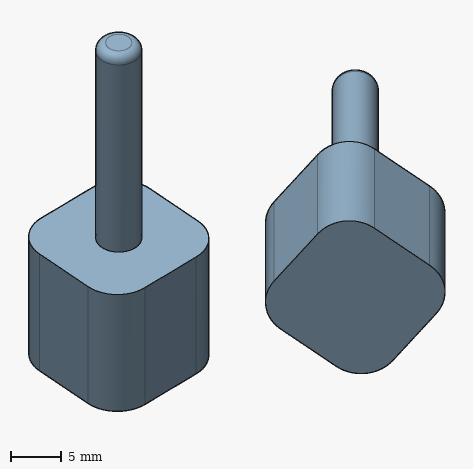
import cadquery as cq

total_height = 40.0
block_side = 15.0
block_height = 15.0
corner_radius = 4.0
pin_diameter = 4.6
tip_radius = 1.0

pin_length = total_height - block_height


def make_block():
    """Square block with rounded vertical edges, standing on Z = 0."""
    block = cq.Workplane("XY").box(block_side, block_side, block_height, centered=(True, True, False))
    return block.edges("|Z").fillet(corner_radius)


def make_pin():
    """Round pin on top of the block, with a rounded tip."""
    pin = cq.Workplane("XY").workplane(offset=block_height).circle(pin_diameter / 2).extrude(pin_length)
    return pin.faces(">Z").edges().fillet(tip_radius)


result = make_block().union(make_pin())